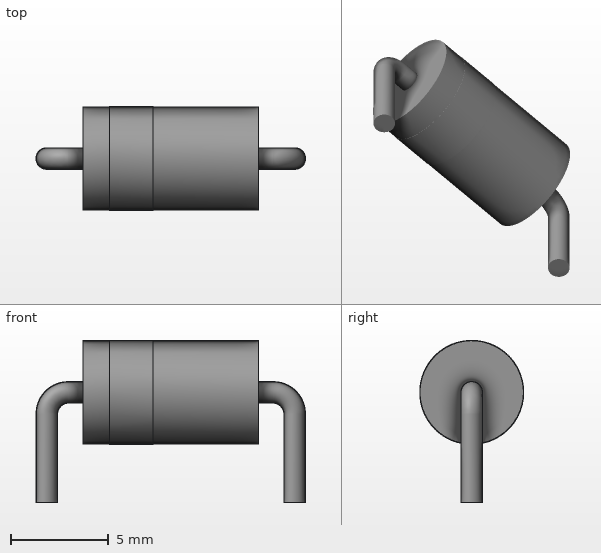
import cadquery as cq

overall_length = 13.8
overall_height = 8.31

body_length = 9.0
body_diameter = 5.3
band_diameter = 5.33
band_offset = 1.35
band_width = 2.25

lead_diameter = 1.1
bend_radius = lead_diameter

lead_x = (overall_length - lead_diameter) / 2
lead_bottom_z = band_diameter / 2 - overall_height


def cylinder_along_x(start_x, length, diameter):
    """Solid cylinder centred on the X axis."""
    return cq.Workplane("YZ", origin=(start_x, 0, 0)).circle(diameter / 2).extrude(length)


def bent_lead():
    """Wire from the body centre out along +X, then bent down to its free end."""
    path = (
        cq.Workplane("XZ")
        .lineTo(lead_x - bend_radius, 0)
        .tangentArcPoint((lead_x, -bend_radius), relative=False)
        .lineTo(lead_x, lead_bottom_z)
    )
    return cq.Workplane("YZ").circle(lead_diameter / 2).sweep(path)


body = cylinder_along_x(-body_length / 2, body_length, body_diameter)
band = cylinder_along_x(-body_length / 2 + band_offset, band_width, band_diameter)
result = body.union(band)

right_lead = bent_lead()
for lead in (right_lead, right_lead.mirror("YZ")):
    result = result.union(lead)